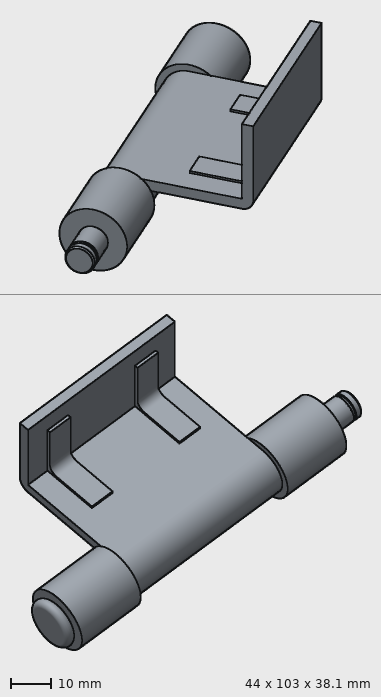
import cadquery as cq

overall_length = 103.0
leaf_length = 50.0
sleeve_length = 20.0
sleeve_radius = 9.0
bore_radius = 3.9

knuckle_radius = 7.0
plate_thickness = 3.0
plate_reach = 35.0
plate_top = 29.1
bend_radius = 3.0

tab_width = 7.0
tab_inset = 6.6
tab_base_thickness = 0.6
tab_wall_thickness = 0.9
tab_start = 15.9
tab_top = 23.3
tab_fillet = 2.4

head_radius = 7.0
head_thickness = 3.0
groove_width = 0.9
groove_depth = 0.5
tip_land = 2.0
tip_chamfer = 0.4

half_leaf = leaf_length / 2
sleeve_end = half_leaf + sleeve_length
head_end = sleeve_end + head_thickness
tip_end = head_end - overall_length
wall_inner = plate_reach - plate_thickness
plate_upper = knuckle_radius
plate_lower = plate_upper - plate_thickness


def cylinder_y(radius, y_start, length):
    """Cylinder on the hinge axis, running toward +Y from y_start."""
    return cq.Workplane("XZ", origin=(0, y_start, 0)).circle(radius).extrude(-length)


def make_tab(y_start):
    """L-shaped tab with a rounded inner corner."""
    tab_inner = wall_inner - tab_wall_thickness
    tab_upper = plate_upper + tab_base_thickness
    return (
        cq.Workplane("XZ", origin=(0, y_start, 0))
        .moveTo(tab_start, plate_upper)
        .lineTo(wall_inner, plate_upper)
        .lineTo(wall_inner, tab_top)
        .lineTo(tab_inner, tab_top)
        .lineTo(tab_inner, tab_upper + tab_fillet)
        .radiusArc((tab_inner - tab_fillet, tab_upper), tab_fillet)
        .lineTo(tab_start, tab_upper)
        .close()
        .extrude(-tab_width)
    )


def make_leaf():
    """Knuckle, bent plate and two tabs, bored for the pin."""
    plate = (
        cq.Workplane("XZ", origin=(0, -half_leaf, 0))
        .moveTo(0, plate_lower)
        .lineTo(plate_reach - bend_radius, plate_lower)
        .radiusArc((plate_reach, plate_lower + bend_radius), -bend_radius)
        .lineTo(plate_reach, plate_top)
        .lineTo(wall_inner, plate_top)
        .lineTo(wall_inner, plate_upper)
        .lineTo(0, plate_upper)
        .close()
        .extrude(-leaf_length)
    )
    leaf = cylinder_y(knuckle_radius, -half_leaf, leaf_length).union(plate)
    for y_start in (-half_leaf + tab_inset, half_leaf - tab_inset - tab_width):
        leaf = leaf.union(make_tab(y_start))
    return leaf.cut(cylinder_y(bore_radius, -half_leaf, leaf_length))


def make_sleeve(y_start):
    """Plain sleeve fitted on the pin."""
    sleeve = cylinder_y(sleeve_radius, y_start, sleeve_length)
    return sleeve.cut(cylinder_y(bore_radius, y_start, sleeve_length))


def make_pin():
    """Headed pin with a groove and a chamfered tip."""
    shaft = cylinder_y(bore_radius, tip_end, sleeve_end - tip_end)
    shaft = shaft.faces("<Y").chamfer(tip_chamfer)
    groove_start = tip_end + tip_land
    groove = cylinder_y(bore_radius, groove_start, groove_width).cut(
        cylinder_y(bore_radius - groove_depth, groove_start, groove_width)
    )
    rim_radius = head_thickness / 2
    face_radius = head_radius - rim_radius
    head = (
        cq.Workplane("XY")
        .moveTo(0, sleeve_end)
        .lineTo(face_radius, sleeve_end)
        .threePointArc((head_radius, sleeve_end + rim_radius), (face_radius, head_end))
        .lineTo(0, head_end)
        .close()
        .revolve(360, (0, 0, 0), (0, 1, 0))
    )
    return shaft.cut(groove).union(head)


leaf = make_leaf()
sleeves = [make_sleeve(y_start) for y_start in (-sleeve_end, half_leaf)]
pin = make_pin()

result = cq.Compound.makeCompound([leaf.val(), *[sleeve.val() for sleeve in sleeves], pin.val()])